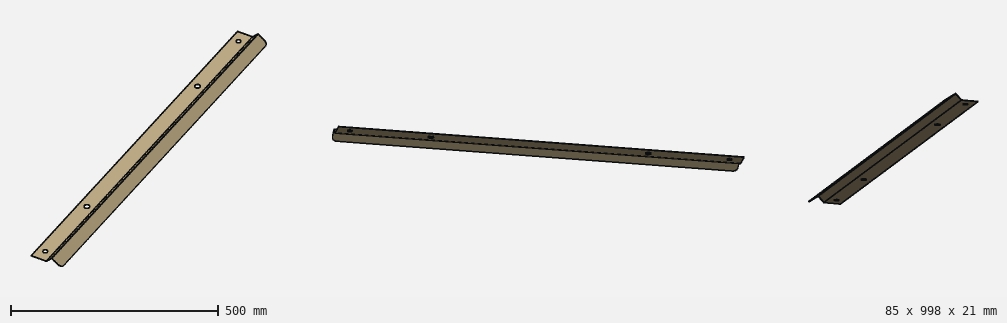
import cadquery as cq
import math

length = 998.0
width = 85.0
height = 21.0
thickness = 2.0

fold_x = 42.0
ridge_x = 57.0
flange_top = 6.0
lip_angle = math.radians(34.7)
web_angle = math.atan2(height - flange_top, ridge_x - fold_x)

lip_corner_radius = 12.0

inner_hole_diameter = 14.0
inner_hole_x = 22.0
inner_hole_y = 267.0
end_hole_diameter = 12.0
end_hole_x = 21.0
end_hole_y = 467.0


def sheet_profile():
    """Constant-thickness section, with sharp mitred bends."""
    fold_shift = thickness * math.tan(web_angle / 2)
    ridge_turn = (web_angle + lip_angle) / 2
    ridge_tilt = (web_angle - lip_angle) / 2
    miter = thickness / math.cos(ridge_turn)
    lip_end_top = (
        width,
        height - (width - ridge_x) * math.tan(lip_angle),
    )
    lip_end_bottom = (
        lip_end_top[0] - thickness * math.sin(lip_angle),
        lip_end_top[1] - thickness * math.cos(lip_angle),
    )
    ridge_bottom = (
        ridge_x + miter * math.sin(ridge_tilt),
        height - miter * math.cos(ridge_tilt),
    )
    return [
        (0, flange_top),
        (fold_x, flange_top),
        (ridge_x, height),
        lip_end_top,
        lip_end_bottom,
        ridge_bottom,
        (fold_x + fold_shift, flange_top - thickness),
        (0, flange_top - thickness),
    ]


def round_lip_corners(sheet):
    """Round the free corners of the lip, square to its sloping face."""
    corners = cq.selectors.BoxSelector(
        (width - thickness, -length, -thickness),
        (width + thickness, length, 2 * thickness),
    )
    lip_normal = cq.Vector(math.sin(lip_angle), 0, math.cos(lip_angle))
    across_sheet = cq.selectors.ParallelDirSelector(lip_normal)
    return sheet.edges(corners).edges(across_sheet).fillet(lip_corner_radius)


def hole_pair(diameter, x, y):
    """Cutters for two round holes at equal distances from mid-length."""
    return cq.Workplane("XY").pushPoints([(x, -y), (x, y)]).circle(diameter / 2).extrude(height)


blank = cq.Workplane("XZ").polyline(sheet_profile()).close().extrude(length / 2, both=True)
inner_holes = hole_pair(inner_hole_diameter, inner_hole_x, inner_hole_y)
end_holes = hole_pair(end_hole_diameter, end_hole_x, end_hole_y)
result = round_lip_corners(blank).cut(inner_holes).cut(end_holes)